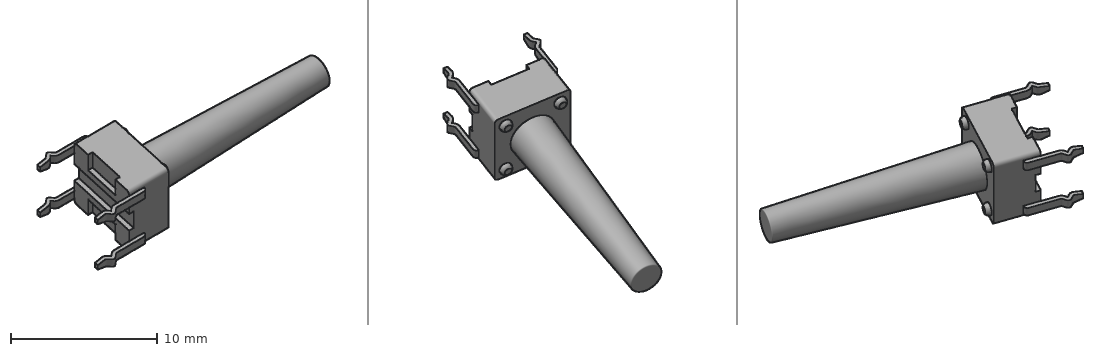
import cadquery as cq
import math

overall_length = 22.0
overall_width = 7.33

body_side = 6.0
body_depth = 3.45
body_corner_radius = 0.3
groove_height = 1.65
recess_depth = 0.4
pocket_width = 3.0
pocket_height = 1.55

stem_base_diameter = 3.5
stem_tip_diameter = 2.45
stem_tip_fillet = 0.09
stem_length = 15.55

rivet_diameter = 0.95
rivet_height = 0.4
rivet_rim_height = 0.07
rivet_crown_diameter = 0.57
rivet_bulge = 0.055
rivet_offset = 2.15

leg_thickness = 0.3
leg_width = 0.75
leg_pitch = 4.5
leg_overlap = 1.3
leg_shoulder_radius = 0.26
kink_drop = 1.83
kink_outer_radius = 0.22
leg_bend_radius = 0.22
tip_length = 0.65
tip_end_width = 0.45

body_half = body_side / 2
body_bottom = -body_depth
leg_end = stem_length - overall_length


def make_body():
    body = (
        cq.Workplane("XY")
        .box(body_side, body_depth, body_side)
        .translate((0, -body_depth / 2, 0))
        .edges("|Y")
        .fillet(body_corner_radius)
    )
    recess_y = body_bottom + recess_depth / 2
    groove = cq.Workplane("XY").box(body_side, recess_depth, groove_height).translate((0, recess_y, 0))
    body = body.cut(groove)
    pocket_z = body_half - pocket_height / 2
    for side in (-1, 1):
        pocket = (
            cq.Workplane("XY")
            .box(pocket_width, recess_depth, pocket_height)
            .translate((0, recess_y, side * pocket_z))
        )
        body = body.cut(pocket)
    return body


def make_stem():
    base_radius = stem_base_diameter / 2
    tip_radius = stem_tip_diameter / 2
    half_section = [(0, 0), (base_radius, 0), (tip_radius, stem_length), (0, stem_length)]
    stem = cq.Workplane("XY").polyline(half_section).close().revolve(360, (0, 0, 0), (0, 1, 0))
    return stem.faces(">Y").edges().fillet(stem_tip_fillet)


def make_rivet():
    """Low head with a short straight rim, a bulging shoulder and a flat crown."""
    return (
        cq.Workplane("XY")
        .lineTo(rivet_diameter / 2, 0)
        .lineTo(rivet_diameter / 2, rivet_rim_height)
        .sagittaArc((rivet_crown_diameter / 2, rivet_height), -rivet_bulge)
        .lineTo(0, rivet_height)
        .close()
        .revolve(360, (0, 0, 0), (0, 1, 0))
    )


def polar(center, radius, degrees):
    angle = math.radians(degrees)
    return (center[0] + radius * math.cos(angle), center[1] + radius * math.sin(angle))


def make_leg():
    """Terminal on the +X side: a flat strip with an outward 45 degree kink and a narrowed tip."""
    inner_x = body_half
    outer_x = body_half + leg_thickness
    top_y = body_bottom + leg_overlap

    kink_center = (overall_width / 2 - kink_outer_radius, body_bottom - kink_drop)
    kink_inset = (leg_thickness - kink_outer_radius) * math.sqrt(2)
    kink_corner = (kink_center[0] - kink_inset, kink_center[1])

    inner_bend_radius = leg_bend_radius + leg_thickness
    bend_x = outer_x + leg_bend_radius
    bend_inner_x, bend_inner_y = polar((bend_x, 0), inner_bend_radius, 225)
    bend_rise = (kink_corner[0] - bend_inner_x) - bend_inner_y
    upper_bend = (bend_x, kink_center[1] + bend_rise)
    lower_bend = (bend_x, kink_center[1] - bend_rise)

    shoulder = (outer_x - leg_shoulder_radius, top_y - leg_shoulder_radius)

    strip = (
        cq.Workplane("XY")
        .moveTo(inner_x, top_y)
        .lineTo(shoulder[0], top_y)
        .threePointArc(polar(shoulder, leg_shoulder_radius, 45), (outer_x, shoulder[1]))
        .lineTo(outer_x, upper_bend[1])
        .threePointArc(
            polar(upper_bend, leg_bend_radius, 202.5),
            polar(upper_bend, leg_bend_radius, 225),
        )
        .lineTo(*polar(kink_center, kink_outer_radius, 45))
        .threePointArc(
            polar(kink_center, kink_outer_radius, 0),
            polar(kink_center, kink_outer_radius, -45),
        )
        .lineTo(*polar(lower_bend, leg_bend_radius, 135))
        .threePointArc(
            polar(lower_bend, leg_bend_radius, 157.5),
            polar(lower_bend, leg_bend_radius, 180),
        )
        .lineTo(outer_x, leg_end)
        .lineTo(inner_x, leg_end)
        .lineTo(inner_x, lower_bend[1])
        .threePointArc(
            polar(lower_bend, inner_bend_radius, 157.5),
            polar(lower_bend, inner_bend_radius, 135),
        )
        .lineTo(*kink_corner)
        .lineTo(*polar(upper_bend, inner_bend_radius, 225))
        .threePointArc(
            polar(upper_bend, inner_bend_radius, 202.5),
            (inner_x, upper_bend[1]),
        )
        .close()
        .extrude(leg_width / 2, both=True)
    )

    tip_start = leg_end + tip_length
    half_outline = [
        (top_y, leg_width / 2),
        (tip_start, leg_width / 2),
        (leg_end, tip_end_width / 2),
    ]
    mirrored_outline = [(y, -z) for y, z in reversed(half_outline)]
    outline = cq.Workplane("YZ").polyline(half_outline + mirrored_outline).close().extrude(overall_width)
    return strip.intersect(outline)


result = make_body().union(make_stem())

rivet = make_rivet()
right_leg = make_leg()
left_leg = right_leg.mirror("YZ")
for side_z in (-1, 1):
    for side_x in (-1, 1):
        result = result.union(rivet.translate((side_x * rivet_offset, 0, side_z * rivet_offset)))
    for leg in (left_leg, right_leg):
        result = result.union(leg.translate((0, 0, side_z * leg_pitch / 2)))